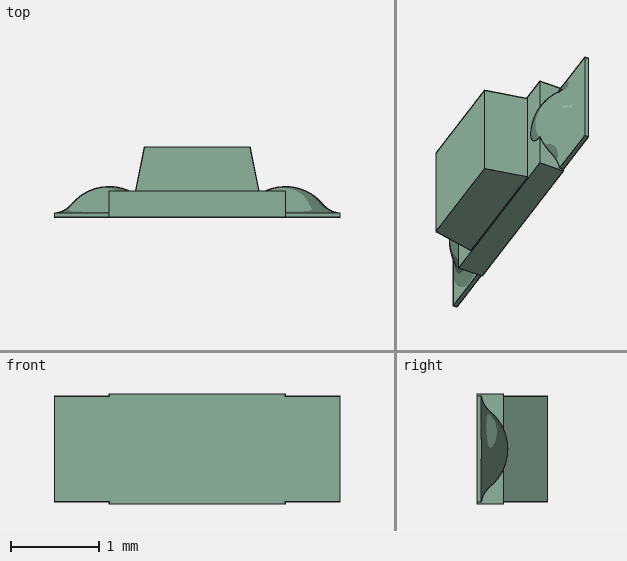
import cadquery as cq
import math

plate_length = 3.24
plate_height = 1.2
plate_thickness = 0.05

block_length = 2.0
block_height = 1.25
block_depth = 0.3

cap_base_length = 1.4
cap_end_length = 1.2
total_depth = 0.8

dome_spacing = block_length
dome_peak = 0.35
dome_rim = 0.15
dome_radius = 0.55

sphere_center = dome_peak - dome_radius
rim_angle = math.acos((dome_rim - sphere_center) / dome_radius)
rim_radius = dome_radius * math.sin(rim_angle)
flare_radius = (dome_rim - plate_thickness) / (1 - math.cos(rim_angle))
foot_radius = rim_radius + flare_radius * math.sin(rim_angle)


def box_from_front(length, height, depth):
    """Box centred on X and Z, reaching from the front face back to the given depth."""
    return cq.Workplane("XY").box(length, depth, height).translate((0, depth / 2, 0))


def make_dome(x):
    """Spherical dome with a flared foot, turned about an axis along Y."""
    crown_middle = (
        dome_radius * math.sin(rim_angle / 2),
        sphere_center + dome_radius * math.cos(rim_angle / 2),
    )
    flare_middle = (
        foot_radius - flare_radius * math.sin(rim_angle / 2),
        plate_thickness + flare_radius * (1 - math.cos(rim_angle / 2)),
    )
    return (
        cq.Workplane("XY")
        .moveTo(0, 0)
        .lineTo(0, dome_peak)
        .threePointArc(crown_middle, (rim_radius, dome_rim))
        .threePointArc(flare_middle, (foot_radius, plate_thickness))
        .lineTo(foot_radius, 0)
        .close()
        .revolve(360, (0, 0, 0), (0, 1, 0))
        .translate((x, 0, 0))
    )


def make_base():
    """Plate with a central block and two domes, the domes trimmed to the plate outline."""
    base = box_from_front(plate_length, plate_height, plate_thickness)
    base = base.union(box_from_front(block_length, block_height, block_depth))
    plate_outline = box_from_front(plate_length, plate_height, total_depth)
    for side in (-1, 1):
        dome = make_dome(side * dome_spacing / 2)
        base = base.union(dome.intersect(plate_outline))
    return base


def make_cap():
    """Tapered cap standing on the back of the block, as high as the plate."""
    return (
        cq.Workplane("XY")
        .polyline([
            (-cap_base_length / 2, block_depth),
            (cap_base_length / 2, block_depth),
            (cap_end_length / 2, total_depth),
            (-cap_end_length / 2, total_depth),
        ])
        .close()
        .extrude(plate_height / 2, both=True)
    )


base = make_base()
cap = make_cap()
result = cq.Compound.makeCompound([base.val(), cap.val()])